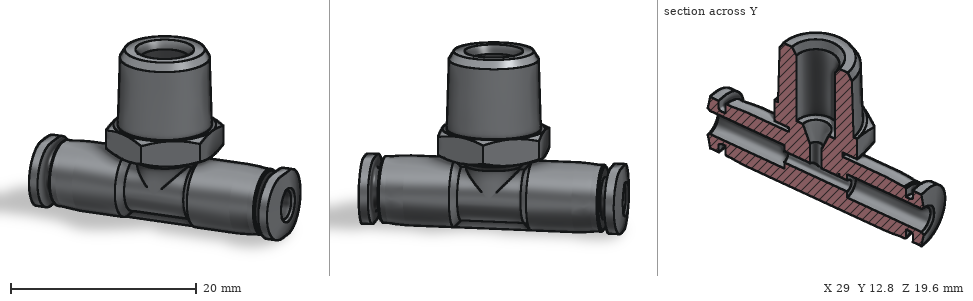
import cadquery as cq
import math

HALF_LENGTH = 14.5
BODY_RADIUS = 3.8
SLEEVE_RADIUS = 3.62
SLEEVE_END_X = 12.12
SLEEVE_EDGE_CHAMFER = 0.17
SLEEVE_TAPER_START_X = 11.25
SLEEVE_TAPER_END_X = 9.25

WAIST_RADIUS = 3.02
WAIST_HALF_LENGTH = 3.48
RECESS_HALF_LENGTH = 4.23
RECESS_OVERCUT = 0.3
RIB_WIDTH = 1.15

COLLAR_NECK_RADIUS = 4.58 / 2
COLLAR_NECK_FILLET = 0.38
COLLAR_INNER_X = 13.0
NECK_OVERLAP = 0.3
COLLAR_HEIGHT = 7.2
COLLAR_WIDTH = 9.14
COLLAR_FACE_RADIUS = 1.88
COLLAR_FACE_DROP = 0.5
TUBE_RADIUS = 3.15 / 2
TUBE_STOP_X = RECESS_HALF_LENGTH
PASSAGE_RADIUS = 1.5 / 2

NECK_RADIUS = 3.6
NECK_BOTTOM_Z = 3.77
NUT_BOTTOM_Z = 4.32
NUT_TOP_Z = 7.22
NUT_CORNERS = 12.82
NUT_FLATS = NUT_CORNERS * math.cos(math.radians(30))
NUT_CORNER_DROP = 0.44
TOP_Z = 19.6 - BODY_RADIUS
THREAD_BASE_RADIUS = 5.1
THREAD_TIP_RADIUS = 4.87
THREAD_CHAMFER_Z = TOP_Z - 0.9
THREAD_FACE_RADIUS = 4.32

BORE_RADIUS = 5.13 / 2
BORE_MOUTH_RADIUS = 3.15
BORE_MOUTH_DEPTH = 0.9
BORE_FLOOR_Z = 5.8
FUNNEL_RADIUS = 1.7
FUNNEL_BOTTOM_Z = 3.48


def revolve_x(outline):
    """Solid of revolution about X from (x, radius) points."""
    return cq.Workplane("XY").polyline(outline).close().revolve(360, (0, 0, 0), (1, 0, 0))


def revolve_z(outline):
    """Solid of revolution about Z from (radius, z) points."""
    return cq.Workplane("XZ").polyline(outline).close().revolve(360, (0, 0, 0), (0, 1, 0))


def both_ends(solid):
    """The given solid together with its mirror image across the YZ plane."""
    return solid.union(solid.mirror("YZ"))


def make_body():
    half = (
        cq.Workplane("XY")
        .lineTo(0, BODY_RADIUS)
        .lineTo(SLEEVE_TAPER_END_X, BODY_RADIUS)
        .tangentArcPoint((SLEEVE_TAPER_START_X, SLEEVE_RADIUS), relative=False)
        .lineTo(SLEEVE_END_X - SLEEVE_EDGE_CHAMFER, SLEEVE_RADIUS)
        .lineTo(SLEEVE_END_X, SLEEVE_RADIUS - SLEEVE_EDGE_CHAMFER)
        .lineTo(SLEEVE_END_X, 0)
        .close()
        .revolve(360, (0, 0, 0), (1, 0, 0))
    )
    return both_ends(half)


def make_waist_recess():
    """Ring cut with sloped ends, interrupted by a straight rib above and below."""
    slope = (RECESS_HALF_LENGTH - WAIST_HALF_LENGTH) / (BODY_RADIUS - WAIST_RADIUS)
    ring_radius = BODY_RADIUS + RECESS_OVERCUT
    ring_half_length = WAIST_HALF_LENGTH + slope * (ring_radius - WAIST_RADIUS)
    ring = revolve_x([
        (-WAIST_HALF_LENGTH, WAIST_RADIUS),
        (WAIST_HALF_LENGTH, WAIST_RADIUS),
        (ring_half_length, ring_radius),
        (-ring_half_length, ring_radius),
    ])
    ribs = cq.Workplane("XY").box(2 * ring_half_length, RIB_WIDTH, 2 * ring_radius)
    return ring.cut(ribs)


def make_collar():
    """Neck flowing through a fillet into an oblong flange with a conical outer face."""
    neck_start_x = SLEEVE_END_X - NECK_OVERLAP
    neck = (
        cq.Workplane("XY")
        .moveTo(neck_start_x, 0)
        .lineTo(neck_start_x, COLLAR_NECK_RADIUS)
        .lineTo(COLLAR_INNER_X - COLLAR_NECK_FILLET, COLLAR_NECK_RADIUS)
        .tangentArcPoint((COLLAR_INNER_X, COLLAR_NECK_RADIUS + COLLAR_NECK_FILLET), relative=False)
        .lineTo(COLLAR_INNER_X, 0)
        .close()
        .revolve(360, (0, 0, 0), (1, 0, 0))
    )
    oblong = (
        cq.Workplane("YZ", origin=(COLLAR_INNER_X, 0, 0))
        .slot2D(COLLAR_WIDTH, COLLAR_HEIGHT)
        .extrude(HALF_LENGTH - COLLAR_INNER_X)
    )
    face_cone = revolve_x([
        (COLLAR_INNER_X, 0),
        (COLLAR_INNER_X, COLLAR_WIDTH / 2),
        (HALF_LENGTH - COLLAR_FACE_DROP, COLLAR_WIDTH / 2),
        (HALF_LENGTH, COLLAR_FACE_RADIUS),
        (HALF_LENGTH, 0),
    ])
    return neck.union(oblong.intersect(face_cone))


def make_nut():
    """Hexagon with corners on Y, chamfered at the corners on both faces."""
    hexagon = (
        cq.Workplane("XY", origin=(0, 0, NUT_BOTTOM_Z))
        .transformed(rotate=(0, 0, 90))
        .polygon(6, NUT_CORNERS)
        .extrude(NUT_TOP_Z - NUT_BOTTOM_Z)
    )
    corner_trim = revolve_z([
        (0, NUT_BOTTOM_Z),
        (NUT_FLATS / 2, NUT_BOTTOM_Z),
        (NUT_CORNERS / 2, NUT_BOTTOM_Z + NUT_CORNER_DROP),
        (NUT_CORNERS / 2, NUT_TOP_Z - NUT_CORNER_DROP),
        (NUT_FLATS / 2, NUT_TOP_Z),
        (0, NUT_TOP_Z),
    ])
    return hexagon.intersect(corner_trim)


def make_branch():
    cone_height = NECK_RADIUS - WAIST_RADIUS
    stem = revolve_z([
        (0, 0),
        (WAIST_RADIUS, 0),
        (WAIST_RADIUS, NECK_BOTTOM_Z - cone_height),
        (NECK_RADIUS, NECK_BOTTOM_Z),
        (NECK_RADIUS, NUT_TOP_Z),
        (THREAD_BASE_RADIUS, NUT_TOP_Z),
        (THREAD_TIP_RADIUS, THREAD_CHAMFER_Z),
        (THREAD_FACE_RADIUS, TOP_Z),
        (0, TOP_Z),
    ])
    return stem.union(make_nut())


def make_branch_bore():
    return revolve_z([
        (0, 0),
        (PASSAGE_RADIUS, 0),
        (PASSAGE_RADIUS, FUNNEL_BOTTOM_Z),
        (FUNNEL_RADIUS, BORE_FLOOR_Z),
        (BORE_RADIUS, BORE_FLOOR_Z),
        (BORE_RADIUS, TOP_Z - BORE_MOUTH_DEPTH),
        (BORE_MOUTH_RADIUS, TOP_Z),
        (0, TOP_Z),
    ])


def make_tube_bore():
    """Straight passage, tube socket and chamfered mouth on both sides."""
    mouth_depth = COLLAR_FACE_RADIUS - TUBE_RADIUS
    half = revolve_x([
        (0, 0),
        (0, PASSAGE_RADIUS),
        (TUBE_STOP_X, PASSAGE_RADIUS),
        (TUBE_STOP_X, TUBE_RADIUS),
        (HALF_LENGTH - mouth_depth, TUBE_RADIUS),
        (HALF_LENGTH, COLLAR_FACE_RADIUS),
        (HALF_LENGTH, 0),
    ])
    return both_ends(half)


result = (
    make_body()
    .cut(make_waist_recess())
    .union(both_ends(make_collar()))
    .union(make_branch())
    .cut(make_branch_bore())
    .cut(make_tube_bore())
)